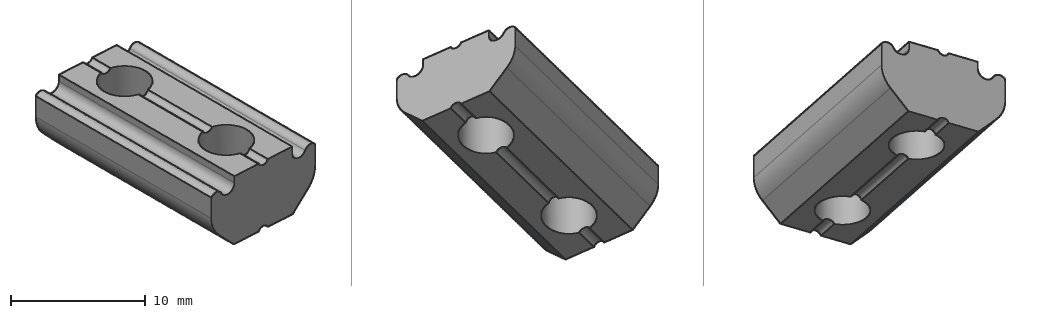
import cadquery as cq
import math

length = 19.0
width = 10.6
height = 6.0

rail_width = 5.89
base_width = 6.0
flank_radius = 2.5
groove_radius = 0.7
groove_depth = 1.3
lip_radius = 0.6
lip_offset = 4.8

notch_width = 0.91
notch_radius = 0.5

hole_diameter = 4.15
hole_spacing = 11.0


def arc_point(center, radius, angle):
    """Point on a circle in the YZ plane, angle in radians from +Y."""
    return (center[0] + radius * math.cos(angle), center[1] + radius * math.sin(angle))


def half_bar():
    """The +Y half of the bar without notches or holes."""
    side = width / 2
    rail_side = rail_width / 2
    base_side = base_width / 2

    groove_center = (rail_side + groove_radius, height - groove_depth + groove_radius)
    offset_y = lip_offset - groove_center[0]
    drop = math.sqrt((groove_radius + lip_radius) ** 2 - offset_y**2)
    lip_center = (lip_offset, groove_center[1] - drop)
    groove_end_angle = math.atan2(-drop, offset_y)
    lip_start = arc_point(groove_center, groove_radius, groove_end_angle)
    groove_middle = arc_point(groove_center, groove_radius, -math.pi / 2)
    lip_crest = arc_point(lip_center, lip_radius, math.pi / 2)
    lip_end_z = lip_center[1] + math.sqrt(lip_radius**2 - (side - lip_offset) ** 2)

    flank_tangent = flank_radius * math.tan(math.pi / 8)
    flank_center = (side - flank_radius, side - base_side + flank_tangent)

    return (
        cq.Workplane("YZ", origin=(-length / 2, 0, 0))
        .moveTo(0, 0)
        .lineTo(0, height)
        .lineTo(rail_side, height)
        .lineTo(rail_side, groove_center[1])
        .threePointArc(groove_middle, lip_start)
        .threePointArc(lip_crest, (side, lip_end_z))
        .lineTo(side, flank_center[1])
        .threePointArc(
            arc_point(flank_center, flank_radius, -math.pi / 8),
            arc_point(flank_center, flank_radius, -math.pi / 4),
        )
        .lineTo(base_side, 0)
        .close()
        .extrude(length)
    )


def notch(face_z, inward):
    """Cutter for a circular-arc notch; inward is +1 or -1 along Z."""
    center_height = math.sqrt(notch_radius**2 - (notch_width / 2) ** 2)
    return (
        cq.Workplane("YZ", origin=(-length / 2, 0, 0))
        .center(0, face_z - inward * center_height)
        .circle(notch_radius)
        .extrude(length)
    )


half = half_bar()
bar = half.union(half.mirror("XZ")).clean()
bar = bar.cut(notch(height, -1)).cut(notch(0, 1))

holes = (
    cq.Workplane("XY")
    .pushPoints([(-hole_spacing / 2, 0), (hole_spacing / 2, 0)])
    .circle(hole_diameter / 2)
    .extrude(height)
)
result = bar.cut(holes)